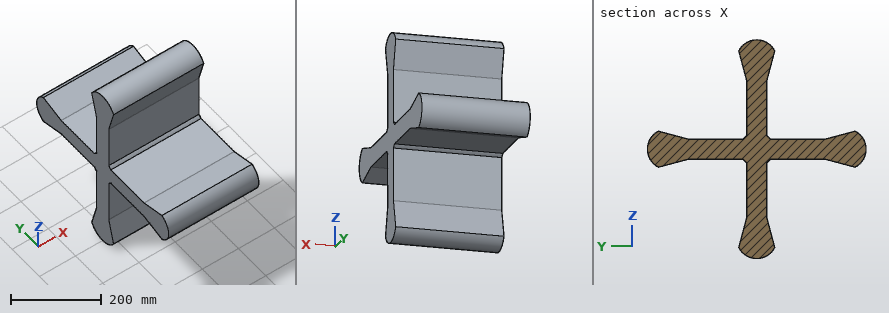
import cadquery as cq
import math

length = 250.0
span = 483.67
arm_width = 45.0
head_width = 80.0
head_radius = 44.6
flare_angle = 15.0
hub_diameter = 75.0
arm_count = 4

tip = span / 2
half_arm = arm_width / 2
half_head = head_width / 2
tip_centre = tip - head_radius
head_edge = tip_centre + math.sqrt(head_radius**2 - half_head**2)
flare_length = (half_head - half_arm) / math.tan(math.radians(flare_angle))
flare_start = head_edge - flare_length


def arm():
    """One arm along +Z: a straight web, a flare and a rounded tip."""
    return (
        cq.Workplane("YZ")
        .moveTo(-half_arm, 0)
        .lineTo(-half_arm, flare_start)
        .lineTo(-half_head, head_edge)
        .threePointArc((0, tip), (half_head, head_edge))
        .lineTo(half_arm, flare_start)
        .lineTo(half_arm, 0)
        .close()
        .extrude(length / 2, both=True)
    )


def hub():
    """Round core on the X axis where the arms meet."""
    return cq.Workplane("YZ").circle(hub_diameter / 2).extrude(length / 2, both=True)


result = hub()
for index in range(arm_count):
    turn = index * 360 / arm_count
    result = result.union(arm().rotate((0, 0, 0), (1, 0, 0), turn))
result = result.clean()